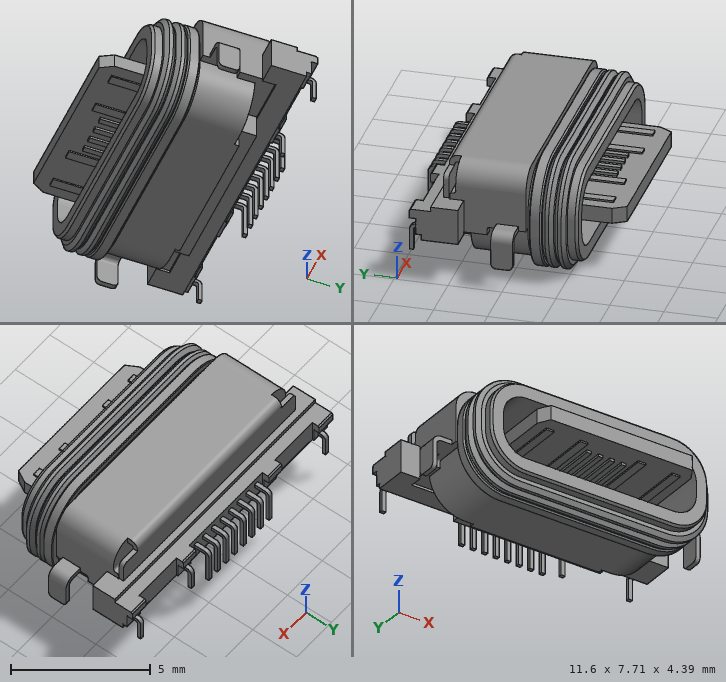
import cadquery as cq


WIDTH = 11.57
HALF_WIDTH = WIDTH / 2

SEAL_HEIGHT = 4.39
CORNER_X = 3.17
CORNER_Z = 0.34
SEAL_RADIUS = SEAL_HEIGHT / 2 - CORNER_Z
TUBE_RADIUS = 1.52
TUBE_TOP = CORNER_Z + TUBE_RADIUS

MOUTH_Y = -1.85
MOUTH_CHAMFER_RADIAL = 0.07
MOUTH_CHAMFER_LENGTH = 0.1
FLANGE_BACK_Y = -0.14
FLANGE_FRONT_Y = -0.58
FLANGE_CHAMFER = 0.06
FLANGE_BACK_CHAMFER = 0.03
NECK_TAPER_RADIAL = 0.06
NECK_TAPER_LENGTH = 0.13
TUBE_BACK_Y = 2.13
CAVITY_WIDTH = 8.34
CAVITY_HEIGHT = 2.53
CAVITY_RADIUS = 1.0
CAVITY_FLOOR_Y = 1.62

RIB_COUNT = 2
RIB_LENGTH = 0.42
RIB_GAP = 0.05
RIB_PITCH = RIB_LENGTH + RIB_GAP
RIB_HEIGHT = 0.17
RIB_FLANK_LENGTH = 0.14
SEAL_FRONT_Y = FLANGE_FRONT_Y - RIB_COUNT * RIB_PITCH + RIB_GAP

TONGUE_FRONT_Y = -3.24
TONGUE_HALF_WIDTH = 3.33
TONGUE_TIP_HALF_WIDTH = 3.05
TONGUE_TAPER_LENGTH = 0.49
TONGUE_THICKNESS = 0.6
PITCH = 0.5
LONG_PAD_X = (-2.72, -1.25, 1.25, 2.72)
LONG_PAD_WIDTH = 0.34
LONG_PAD_HEIGHT = 0.07
LONG_PAD_FRONT_Y = -2.68
SHORT_PAD_COUNT = 4
SHORT_PAD_WIDTH = 0.2
SHORT_PAD_HEIGHT = 0.1
SHORT_PAD_FRONT_Y = -2.27

BAR_TOP = 0.75
BAR_STEP_TOP = 0.58
BAR_BOTTOM = -0.61
BAR_STEP_Y = 3.31
BAR_BACK_Y = 3.8
BAR_FOOT_Y = 3.67
WING_FRONT_Y = 2.3
TAB_BACK_Y = 4.11
TAB_FOOT_Y = 3.86
TAB_UNDERSIDE = 0.22
TAB_BOTTOM = -0.4
TAB_CHAMFER = 0.06
OUTER_TAB_WIDTH = 0.79
INNER_TAB_WIDTH = 0.74
INNER_TAB_X = 2.48

BLOCK_HALF_WIDTH = CORNER_X
BLOCK_BOTTOM = -1.5
FOOT_HALF_WIDTH = 2.78

TAIL_THICKNESS = 0.15
TAIL_WIDTH = 0.17
TAIL_BEND_RADIUS = 0.22
TAIL_BOTTOM = -1.21
UPPER_TAIL_COUNT = 8
UPPER_TAIL_BACK_Y = 4.47
UPPER_TAIL_TOP = 0.34
LOWER_TAIL_X = (-5.33, 2.42, 5.33)
LOWER_TAIL_BACK_Y = 4.2
LOWER_TAIL_TOP = -0.2

SHELL_HALF_WIDTH = 4.96
SHELL_TOP = 2.1
SHELL_CORNER_RADIUS = 0.81
SHELL_BACK_Y = 2.6
SIDE_BACK_Y = 2.82
SIDE_TOP = 1.01
SIDE_STEP_Y = 1.43
SIDE_FRONT_BOTTOM = -0.21
SIDE_BACK_BOTTOM = -0.51
SIDE_FILLET = 0.09
FLAP_BACK_Y = 3.05
FLAP_THICKNESS = 0.2
FLAP_BEND_RADIUS = 0.32
FLAP_BOTTOM = 0.79
FLAP_SHOULDER = 1.7
FLAP_SHOULDER_RADIUS = 0.21

LEG_TOP = -0.02
LEG_THICKNESS = LEG_TOP - SIDE_FRONT_BOTTOM
LEG_BOTTOM = -1.41
LEG_FRONT_Y = 0.28
LEG_LENGTH = 0.81
LEG_BEND_RADIUS = 0.36
LEG_TIP_RADIUS = 0.2


def box(x0, x1, y0, y1, z0, z1):
    """Box between two opposite corners."""
    return cq.Workplane("XY").box(x1 - x0, y1 - y0, z1 - z0, centered=False).translate((x0, y0, z0))


def rounded_bar(width, height, radius, y0, y1):
    """Bar along Y with a rounded rectangular section centred on the axis."""
    return (
        box(-width / 2, width / 2, y0, y1, -height / 2, height / 2)
        .edges("|Y").fillet(radius)
    )


def oval_bar(radius, y0, y1):
    """Rounded bar around the shared corner centres."""
    return rounded_bar(2 * (CORNER_X + radius), 2 * (CORNER_Z + radius), radius, y0, y1)


def side_plate(points, x0, x1):
    """Outline of (Y, Z) points, extruded from x0 to x1."""
    return cq.Workplane("YZ").polyline(points).close().extrude(x1 - x0).translate((x0, 0, 0))



def make_tube():
    """Oval tube with the locating flange, a tapered neck, the chamfered mouth and the plug cavity."""
    mouth = (
        oval_bar(TUBE_RADIUS, MOUTH_Y, 0)
        .faces("<Y").edges().chamfer(MOUTH_CHAMFER_RADIAL, MOUTH_CHAMFER_LENGTH)
    )
    flange = (
        oval_bar(SEAL_RADIUS, FLANGE_FRONT_Y, FLANGE_BACK_Y)
        .faces("<Y").edges().chamfer(FLANGE_CHAMFER)
        .faces(">Y").edges().chamfer(FLANGE_BACK_CHAMFER)
    )
    neck = (
        oval_bar(TUBE_RADIUS + NECK_TAPER_RADIAL, FLANGE_BACK_Y, 0)
        .faces(">Y").edges().chamfer(NECK_TAPER_RADIAL, NECK_TAPER_LENGTH)
    )
    rear = oval_bar(TUBE_RADIUS, 0, TUBE_BACK_Y)
    cavity = rounded_bar(CAVITY_WIDTH, CAVITY_HEIGHT, CAVITY_RADIUS, MOUTH_Y, CAVITY_FLOOR_Y)
    return mouth.union(flange).union(neck).union(rear).cut(cavity)


def make_tongue():
    """Tongue with chamfered front corners and raised pads on both faces."""
    shoulder_y = TONGUE_FRONT_Y + TONGUE_TAPER_LENGTH
    half_thickness = TONGUE_THICKNESS / 2
    tongue = (
        cq.Workplane("XY")
        .polyline([
            (-TONGUE_HALF_WIDTH, CAVITY_FLOOR_Y),
            (-TONGUE_HALF_WIDTH, shoulder_y),
            (-TONGUE_TIP_HALF_WIDTH, TONGUE_FRONT_Y),
            (TONGUE_TIP_HALF_WIDTH, TONGUE_FRONT_Y),
            (TONGUE_HALF_WIDTH, shoulder_y),
            (TONGUE_HALF_WIDTH, CAVITY_FLOOR_Y),
        ])
        .close()
        .extrude(half_thickness, both=True)
    )
    for x in LONG_PAD_X:
        tongue = tongue.union(make_pad(x, LONG_PAD_WIDTH, LONG_PAD_HEIGHT, LONG_PAD_FRONT_Y))
    for x in row_positions(SHORT_PAD_COUNT):
        tongue = tongue.union(make_pad(x, SHORT_PAD_WIDTH, SHORT_PAD_HEIGHT, SHORT_PAD_FRONT_Y))
    return tongue


def row_positions(count):
    """X positions of a centred row at the contact pitch."""
    return [(i - (count - 1) / 2) * PITCH for i in range(count)]


def make_pad(x, width, height, front_y):
    """Contact strip through the tongue, raised by `height` above both faces."""
    top = TONGUE_THICKNESS / 2 + height
    return box(x - width / 2, x + width / 2, front_y, CAVITY_FLOOR_Y, -top, top)


def make_block():
    """Block that joins the tube to the bar."""
    return box(-BLOCK_HALF_WIDTH, BLOCK_HALF_WIDTH, TUBE_BACK_Y, SIDE_BACK_Y, BLOCK_BOTTOM, BAR_TOP)


def make_rear_bar():
    """Stepped bar behind the shell, with wings beside it and a block joining it to the tube."""
    bar = side_plate(
        [
            (SIDE_BACK_Y, BAR_BOTTOM),
            (SIDE_BACK_Y, BAR_TOP),
            (BAR_STEP_Y, BAR_TOP),
            (BAR_STEP_Y, BAR_STEP_TOP),
            (BAR_BACK_Y, BAR_STEP_TOP),
            (BAR_BACK_Y, TAB_BOTTOM),
            (BAR_FOOT_Y, TAB_BOTTOM),
            (BAR_FOOT_Y, BAR_BOTTOM),
        ],
        -HALF_WIDTH,
        HALF_WIDTH,
    )
    for x0, x1 in ((-HALF_WIDTH, -SHELL_HALF_WIDTH), (SHELL_HALF_WIDTH, HALF_WIDTH)):
        bar = bar.union(box(x0, x1, WING_FRONT_Y, SIDE_BACK_Y, BAR_BOTTOM, BAR_TOP))

    foot = box(-FOOT_HALF_WIDTH, FOOT_HALF_WIDTH, TUBE_BACK_Y, WING_FRONT_Y, -TUBE_TOP, BLOCK_BOTTOM)
    bar = bar.union(make_block()).union(foot)

    outer_tab_x = HALF_WIDTH - OUTER_TAB_WIDTH / 2
    for side in (-1, 1):
        bar = bar.union(make_tab(side * outer_tab_x, OUTER_TAB_WIDTH))
        bar = bar.union(make_tab(side * INNER_TAB_X, INNER_TAB_WIDTH))
    return bar


def make_tab(x, width):
    """Overhanging tab on the back of the bar."""
    return side_plate(
        [
            (BAR_STEP_Y, BAR_STEP_TOP),
            (TAB_BACK_Y - TAB_CHAMFER, BAR_STEP_TOP),
            (TAB_BACK_Y, BAR_STEP_TOP - TAB_CHAMFER),
            (TAB_BACK_Y, TAB_UNDERSIDE),
            (TAB_FOOT_Y, TAB_UNDERSIDE),
            (TAB_FOOT_Y, TAB_BOTTOM),
            (BAR_STEP_Y, TAB_BOTTOM),
        ],
        x - width / 2,
        x + width / 2,
    )


def make_tail(x, back_y, top):
    """Solder tail that leaves the bar to the rear and bends straight down."""
    x0 = x - TAIL_WIDTH / 2
    x1 = x + TAIL_WIDTH / 2
    inner_radius = TAIL_BEND_RADIUS - TAIL_THICKNESS
    outside = (
        box(x0, x1, BAR_FOOT_Y, back_y, TAIL_BOTTOM, top)
        .edges("|X and >Y and >Z").fillet(TAIL_BEND_RADIUS)
    )
    inside = (
        box(x0, x1, BAR_FOOT_Y, back_y - TAIL_THICKNESS, TAIL_BOTTOM, top - TAIL_THICKNESS)
        .edges("|X and >Y and >Z").fillet(inner_radius)
    )
    return outside.cut(inside)


def make_housing():
    housing = make_tube().union(make_tongue()).union(make_rear_bar())
    for x in row_positions(UPPER_TAIL_COUNT):
        housing = housing.union(make_tail(x, UPPER_TAIL_BACK_Y, UPPER_TAIL_TOP))
    for x in LOWER_TAIL_X:
        housing = housing.union(make_tail(x, LOWER_TAIL_BACK_Y, LOWER_TAIL_TOP))
    return housing



def make_seal():
    """Ring in front of the flange with a row of ribs that narrow outwards."""
    seal = oval_bar(SEAL_RADIUS - RIB_HEIGHT, SEAL_FRONT_Y, FLANGE_FRONT_Y)
    for i in range(RIB_COUNT):
        rib_front_y = SEAL_FRONT_Y + i * RIB_PITCH
        rib = oval_bar(SEAL_RADIUS, rib_front_y, rib_front_y + RIB_LENGTH)
        seal = seal.union(rib.faces("<Y or >Y").edges().chamfer(RIB_HEIGHT, RIB_FLANK_LENGTH))
    return seal.cut(oval_bar(TUBE_RADIUS, SEAL_FRONT_Y, FLANGE_FRONT_Y))



def make_cover():
    """Round-cornered cover with stepped side edges, fitting over the tube and the rear block."""
    outline = side_plate(
        [
            (0, SHELL_TOP),
            (0, SIDE_FRONT_BOTTOM),
            (SIDE_STEP_Y, SIDE_FRONT_BOTTOM),
            (SIDE_STEP_Y, SIDE_BACK_BOTTOM),
            (SIDE_BACK_Y, SIDE_BACK_BOTTOM),
            (SIDE_BACK_Y, SIDE_TOP),
            (SHELL_BACK_Y, SIDE_TOP),
            (SHELL_BACK_Y, SHELL_TOP),
        ],
        -SHELL_HALF_WIDTH,
        SHELL_HALF_WIDTH,
    )
    step = cq.selectors.BoxSelector(
        (-HALF_WIDTH, SIDE_STEP_Y - SIDE_FILLET, SIDE_FRONT_BOTTOM - SIDE_FILLET),
        (HALF_WIDTH, SIDE_STEP_Y + SIDE_FILLET, SIDE_FRONT_BOTTOM + SIDE_FILLET),
    )
    notch = cq.selectors.BoxSelector(
        (-HALF_WIDTH, SHELL_BACK_Y - SIDE_FILLET, SIDE_TOP - SIDE_FILLET),
        (HALF_WIDTH, SIDE_BACK_Y + SIDE_FILLET, SIDE_TOP + SIDE_FILLET),
    )
    outline = outline.edges("|X").edges(step + notch).fillet(SIDE_FILLET)
    outline = outline.edges("|Y and >Z").fillet(SHELL_CORNER_RADIUS)
    return outline.cut(oval_bar(TUBE_RADIUS, 0, TUBE_BACK_Y)).cut(make_block())


def make_flap():
    """Rear flap bent down from the top plate, full width below its rounded shoulders."""
    bend_half_width = SHELL_HALF_WIDTH - SHELL_CORNER_RADIUS
    flap_front_y = FLAP_BACK_Y - FLAP_THICKNESS
    inner_radius = FLAP_BEND_RADIUS - FLAP_THICKNESS
    bend = (
        box(-bend_half_width, bend_half_width, SHELL_BACK_Y, FLAP_BACK_Y, FLAP_BOTTOM, SHELL_TOP)
        .edges("|X and >Y and >Z").fillet(FLAP_BEND_RADIUS)
    )
    inside = (
        box(-bend_half_width, bend_half_width, SHELL_BACK_Y, flap_front_y, FLAP_BOTTOM, TUBE_TOP)
        .edges("|X and >Y and >Z").fillet(inner_radius)
    )
    plate = (
        box(-SHELL_HALF_WIDTH, SHELL_HALF_WIDTH, flap_front_y, FLAP_BACK_Y, FLAP_BOTTOM, FLAP_SHOULDER)
        .edges("|Y and >Z").fillet(FLAP_SHOULDER_RADIUS)
    )
    return bend.cut(inside).union(plate)


def make_leg():
    """Leg on the +X side that reaches out from the lower edge of the cover and bends down."""
    x0 = SHELL_HALF_WIDTH - LEG_THICKNESS / 2
    y1 = LEG_FRONT_Y + LEG_LENGTH
    outside = (
        box(x0, HALF_WIDTH, LEG_FRONT_Y, y1, LEG_BOTTOM, LEG_TOP)
        .edges("|Y and >X and >Z").fillet(LEG_BEND_RADIUS)
    )
    inside = (
        box(x0, HALF_WIDTH - LEG_THICKNESS, LEG_FRONT_Y, y1, LEG_BOTTOM, LEG_TOP - LEG_THICKNESS)
        .edges("|Y and >X and >Z").fillet(LEG_BEND_RADIUS - LEG_THICKNESS)
    )
    return outside.cut(inside).edges("|X and <Z").fillet(LEG_TIP_RADIUS)


def make_shell():
    leg = make_leg()
    return make_cover().union(make_flap()).union(leg).union(leg.mirror("YZ"))


housing = make_housing()
seal = make_seal()
shell = make_shell()

result = cq.Compound.makeCompound([housing.solids().val(), seal.solids().val(), shell.solids().val()])